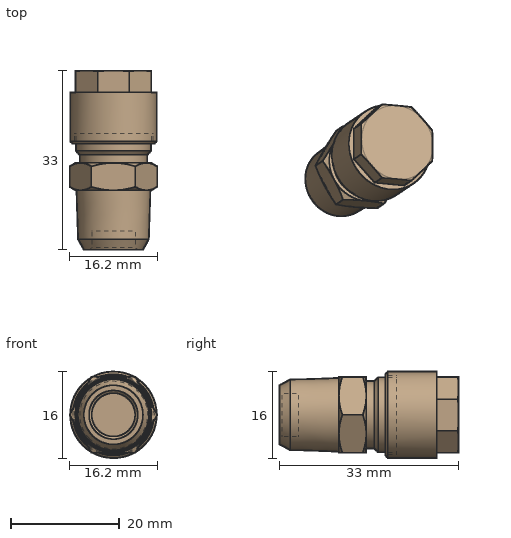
import cadquery as cq
import math


tip_chamfer_end = 2.0
hex_start = 11.0
hex_end = 16.0
collar_chamfer_start = 17.5
collar_start = 18.2
sleeve_start = 19.5
sleeve_end = 29.0
total_length = 33.0

across_flats = 14.0
tip_radius = 5.45
thread_small_radius = 6.55
thread_large_radius = 6.83
neck_radius = 6.25
collar_radius = 6.93
sleeve_radius = 8.0
sleeve_chamfer = 0.5
sleeve_recess_radius = 7.25
sleeve_recess_depth = 2.0

bore_radius = 4.0
bore_mouth_radius = 4.5
bore_chamfer_depth = 0.5
bore_depth = 3.5

hex_chamfer_angle = 30.0
octagon_chamfer_angle = 15.0


def revolve_profile(points):
    """Revolve an outline of (radius, Y) points around the Y axis."""
    return cq.Workplane("XY").polyline(points).close().revolve(360, (0, 0, 0), (0, 1, 0))


def nut(sides, start, end, first_corner_angle, chamfer_angle, chamfer_start):
    """Prism around the Y axis with its corners cut by a cone at one or both ends."""
    flat_radius = across_flats / 2
    corner_radius = flat_radius / math.cos(math.pi / sides)
    drop = (corner_radius - flat_radius) * math.tan(math.radians(chamfer_angle))
    prism = (
        cq.Workplane("XZ", origin=(0, start, 0))
        .polygon(sides, 2 * corner_radius)
        .extrude(start - end)
        .rotate((0, 0, 0), (0, 1, 0), first_corner_angle)
    )
    envelope = [(0, start)]
    if chamfer_start:
        envelope += [(flat_radius, start), (corner_radius, start + drop)]
    else:
        envelope += [(corner_radius, start)]
    envelope += [(corner_radius, end - drop), (flat_radius, end), (0, end)]
    return prism.intersect(revolve_profile(envelope))


body = revolve_profile([
    (0, 0),
    (tip_radius, 0),
    (thread_small_radius, tip_chamfer_end),
    (thread_large_radius, hex_start),
    (neck_radius, hex_end),
    (neck_radius, collar_chamfer_start),
    (collar_radius, collar_start),
    (collar_radius, sleeve_start + sleeve_recess_depth),
    (sleeve_recess_radius, sleeve_start + sleeve_recess_depth),
    (sleeve_recess_radius, sleeve_start),
    (sleeve_radius - sleeve_chamfer, sleeve_start),
    (sleeve_radius, sleeve_start + sleeve_chamfer),
    (sleeve_radius, sleeve_end),
    (0, sleeve_end),
])

hexagon = nut(6, hex_start, hex_end, 0, hex_chamfer_angle, True)
octagon = nut(8, sleeve_end, total_length, 180 / 8, octagon_chamfer_angle, False)

bore = revolve_profile([
    (0, 0),
    (bore_mouth_radius, 0),
    (bore_radius, bore_chamfer_depth),
    (bore_radius, bore_depth),
    (0, bore_depth),
])

result = body.union(hexagon).union(octagon).cut(bore)